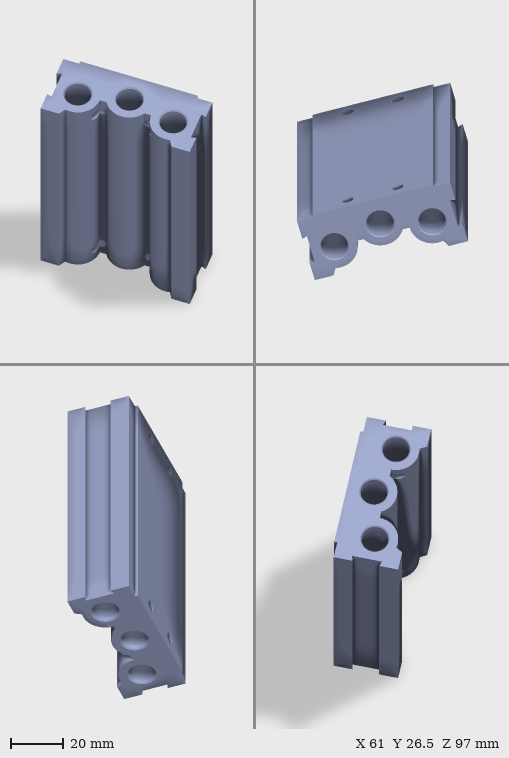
import cadquery as cq
import math

width = 61.0
length = 97.0
body_depth = 25.3
half_width = width / 2

pad_width = 48.0
pad_height = 1.2

groove_depth = 2.0
groove_mouth = 10.4
groove_undercut_angle = 20.0
groove_floor = groove_mouth + 2 * groove_depth * math.tan(math.radians(groove_undercut_angle))
groove_center_y = body_depth / 2

side_bore_x = 19.5
side_bore_y = 11.5
middle_bore_y = 16.0
bore_diameter = 10.4
bore_chamfer = 0.5
lobe_radius = 9.0

web_y = side_bore_y

foot_width = 7.5
flank_angle = 60.0

mount_diameter = 4.5
mount_x = 10.0
mount_end_distance = 6.0


def flank_meets_lobe(foot_x):
    """Point where the flank rising from (foot_x, 0) first meets the side lobe circle."""
    along_x = math.cos(math.radians(flank_angle))
    along_y = math.sin(math.radians(flank_angle))
    offset_x = side_bore_x - foot_x
    projection = -offset_x * along_x + side_bore_y * along_y
    distance_squared = offset_x**2 + side_bore_y**2
    travel = projection - math.sqrt(projection**2 - distance_squared + lobe_radius**2)
    return foot_x - travel * along_x, travel * along_y


def make_half_section():
    """Half of the section at positive X, from the symmetry plane X = 0 outwards."""
    groove_x = half_width - groove_depth
    foot_x = half_width - foot_width
    flank_top = flank_meets_lobe(foot_x)
    middle_lobe_end_x = math.sqrt(lobe_radius**2 - (middle_bore_y - web_y) ** 2)
    half_lobe_angle = math.asin(middle_lobe_end_x / lobe_radius) / 2
    middle_lobe_mid = (
        lobe_radius * math.sin(half_lobe_angle),
        middle_bore_y - lobe_radius * math.cos(half_lobe_angle),
    )
    diagonal = lobe_radius * math.sqrt(0.5)
    side_lobe_mid = (side_bore_x - diagonal, side_bore_y - diagonal)

    return (
        cq.Workplane("XY")
        .moveTo(0, middle_bore_y - lobe_radius)
        .threePointArc(middle_lobe_mid, (middle_lobe_end_x, web_y))
        .lineTo(side_bore_x - lobe_radius, web_y)
        .threePointArc(side_lobe_mid, flank_top)
        .lineTo(foot_x, 0)
        .lineTo(half_width, 0)
        .lineTo(half_width, groove_center_y - groove_mouth / 2)
        .lineTo(groove_x, groove_center_y - groove_floor / 2)
        .lineTo(groove_x, groove_center_y + groove_floor / 2)
        .lineTo(half_width, groove_center_y + groove_mouth / 2)
        .lineTo(half_width, body_depth)
        .lineTo(pad_width / 2, body_depth)
        .lineTo(pad_width / 2, body_depth + pad_height)
        .lineTo(0, body_depth + pad_height)
        .close()
    )


def make_body():
    half = make_half_section().extrude(length)
    return half.union(half.mirror("YZ")).clean()


def make_bore(x, y):
    """Through bore with a chamfered mouth at both ends."""
    radius = bore_diameter / 2
    mouth_radius = radius + bore_chamfer
    half_profile = (
        cq.Workplane("XZ")
        .moveTo(0, 0)
        .lineTo(mouth_radius, 0)
        .lineTo(radius, bore_chamfer)
        .lineTo(radius, length - bore_chamfer)
        .lineTo(mouth_radius, length)
        .lineTo(0, length)
        .close()
    )
    return half_profile.revolve(360, (0, 0), (0, 1)).translate((x, y, 0))


def make_mount_hole(x, z):
    return (
        cq.Workplane("XZ")
        .center(x, z)
        .circle(mount_diameter / 2)
        .extrude(-(body_depth + pad_height))
    )


result = make_body()

bore_centers = [
    (-side_bore_x, side_bore_y),
    (0, middle_bore_y),
    (side_bore_x, side_bore_y),
]
for bore_x, bore_y in bore_centers:
    result = result.cut(make_bore(bore_x, bore_y))

for hole_x in (-mount_x, mount_x):
    for hole_z in (mount_end_distance, length - mount_end_distance):
        result = result.cut(make_mount_hole(hole_x, hole_z))